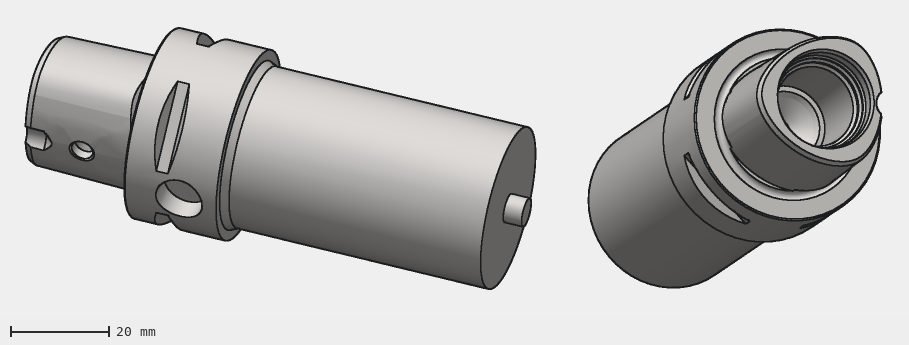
import cadquery as cq
import math

total_length = 104.0
taper_end_x = 22.3
flange_start_x = 24.0
flange_end_x = 44.0
collar_end_x = 45.8
body_end_x = 100.0

flange_diameter = 40.0
collar_diameter = 35.6
body_diameter = 34.0
pin_diameter = 6.0
flange_chamfer = 0.3

polygon_mean_diameter = 28.0
polygon_radius = polygon_mean_diameter / 2
polygon_eccentricity = 0.86
taper_per_length = 0.022
mouth_chamfer = 1.4
mouth_chamfer_depth = 0.6
lobe_count = 3
lobe_seam_angle = math.radians(26)
spans_per_curve = 8

neck_radius = 13.9
neck_setback = 0.4
neck_overlap = 1.7
groove_outer_radius = 15.8
groove_lead = 0.4

bore_mouth_radius = 10.4
bore_diameter = 20.0
bore_chamfer_length = 1.1
bore_length = 4.0
step_radius = 9.6
step_start = 4.5
step_end = 5.0
inner_bore_diameter = 18.0
inner_bore_start = 5.6
inner_bore_end = 6.5
chamber_radius = 8.3
chamber_start = 7.1
chamber_end = 25.0
seat_radius = 7.2
drill_diameter = 12.5
seat_end = 26.0
cone_end = 29.1
tip_diameter = 4.2
tip_end = 32.2

drive_hole_diameter = 4.6
drive_hole_chamfer = 0.4
drive_hole_x = 12.5
drive_hole_depth = 2.6
notch_diameter = 6.0
notch_axis_radius = 13.9
notch_point_half_angle = math.radians(45)
notch_length = 4.2
drill_point_half_angle = math.radians(59)
pocket_diameter = 10.0
pocket_x = 36.0
pocket_floor_radius = 14.8

gripper_x = 32.0
gripper_floor_width = 2.5
gripper_floor_radius = 17.7
gripper_wall_angle = math.radians(30)
gripper_overcut = 1.0
gripper_angles = (45, 135, 225, 315)


def polygon_wire(x, mean_radius):
    """Closed three-lobed curve in the plane X = x, with a flat toward -Y."""

    def point(angle):
        e = polygon_eccentricity
        support = mean_radius + e * math.cos(lobe_count * angle)
        slope = -lobe_count * e * math.sin(lobe_count * angle)
        y = support * math.cos(angle) - slope * math.sin(angle)
        z = support * math.sin(angle) + slope * math.cos(angle)
        return cq.Vector(x, y, z)

    lobe_pitch = 2 * math.pi / lobe_count
    edges = []
    for lobe in range(lobe_count):
        middle = lobe * lobe_pitch
        seams = [middle - lobe_seam_angle, middle + lobe_seam_angle]
        seams.append(middle + lobe_pitch - lobe_seam_angle)
        for start, end in zip(seams, seams[1:]):
            step = (end - start) / spans_per_curve
            points = [point(start + step * i) for i in range(spans_per_curve + 1)]
            edges.append(cq.Edge.makeSpline(points))
    return cq.Wire.assembleEdges(edges)


def polygon_frustum(x_start, radius_start, x_end, radius_end):
    """Ruled solid between two polygon outlines."""
    wires = [polygon_wire(x_start, radius_start), polygon_wire(x_end, radius_end)]
    return cq.Workplane(cq.Solid.makeLoft(wires, True))


def revolve_profile(profile):
    return profile.close().revolve(360, (0, 0, 0), (1, 0, 0))


def drill(diameter, depth, point_half_angle, origin, direction):
    """Cylinder of the given depth that ends in a conical drill point."""
    radius = diameter / 2
    point_length = radius / math.tan(point_half_angle)
    start = cq.Vector(*origin)
    heading = cq.Vector(*direction)
    shaft = cq.Solid.makeCylinder(radius, depth, start, heading)
    point = cq.Solid.makeCone(radius, 0, point_length, start + heading * depth, heading)
    return cq.Workplane(shaft).union(cq.Workplane(point))


def taper_shank():
    small_radius = polygon_radius - taper_per_length * taper_end_x
    chamfer_radius = small_radius + taper_per_length * mouth_chamfer
    shank = polygon_frustum(0, chamfer_radius - mouth_chamfer_depth, mouth_chamfer, chamfer_radius)
    shank = shank.union(polygon_frustum(mouth_chamfer, chamfer_radius, taper_end_x, polygon_radius))
    neck_end_x = flange_start_x + neck_overlap
    shank = shank.union(polygon_frustum(taper_end_x, polygon_radius, neck_end_x, polygon_radius))
    lobe_limit = polygon_radius + 2 * polygon_eccentricity
    neck_start_x = taper_end_x + neck_setback
    turning_start = neck_start_x - (lobe_limit - neck_radius)
    envelope = revolve_profile(
        cq.Workplane("XY")
        .moveTo(0, 0)
        .lineTo(0, lobe_limit)
        .lineTo(turning_start, lobe_limit)
        .lineTo(neck_start_x, neck_radius)
        .lineTo(neck_end_x, neck_radius)
        .lineTo(neck_end_x, 0)
    )
    return shank.intersect(envelope)


def turned_body():
    flange_radius = flange_diameter / 2
    groove_start_x = flange_start_x - groove_lead
    groove_width = groove_outer_radius - neck_radius
    groove_radius = (groove_lead**2 + groove_width**2) / (2 * groove_width)
    groove_deepest = (groove_start_x + groove_radius, neck_radius + groove_radius)
    return revolve_profile(
        cq.Workplane("XY")
        .moveTo(groove_start_x, 0)
        .lineTo(groove_start_x, neck_radius)
        .threePointArc(groove_deepest, (flange_start_x, groove_outer_radius))
        .lineTo(flange_start_x, flange_radius - flange_chamfer)
        .lineTo(flange_start_x + flange_chamfer, flange_radius)
        .lineTo(flange_end_x, flange_radius)
        .lineTo(flange_end_x, collar_diameter / 2)
        .lineTo(collar_end_x, body_diameter / 2)
        .lineTo(body_end_x, body_diameter / 2)
        .lineTo(body_end_x, pin_diameter / 2)
        .lineTo(total_length, pin_diameter / 2)
        .lineTo(total_length, 0)
    )


def stepped_bore():
    tip_radius = tip_diameter / 2
    return revolve_profile(
        cq.Workplane("XY")
        .moveTo(0, 0)
        .lineTo(0, bore_mouth_radius)
        .lineTo(bore_chamfer_length, bore_diameter / 2)
        .lineTo(bore_length, bore_diameter / 2)
        .lineTo(step_start, step_radius)
        .lineTo(step_end, step_radius)
        .lineTo(inner_bore_start, inner_bore_diameter / 2)
        .lineTo(inner_bore_end, inner_bore_diameter / 2)
        .lineTo(chamber_start, chamber_radius)
        .lineTo(chamber_end, chamber_radius)
        .lineTo(chamber_end, seat_radius)
        .lineTo(seat_end, drill_diameter / 2)
        .lineTo(cone_end, tip_radius)
        .lineTo(tip_end, tip_radius)
        .lineTo(tip_end + tip_radius / math.tan(drill_point_half_angle), 0)
    )


def gripper_groove(angle):
    """Straight groove with sloped walls, turned about X from the +Y side."""
    outer_radius = flange_diameter / 2 + gripper_overcut
    depth = outer_radius - gripper_floor_radius
    half_floor = gripper_floor_width / 2
    half_top = half_floor + depth * math.tan(gripper_wall_angle)
    return (
        cq.Workplane("XY")
        .moveTo(gripper_x - half_floor, gripper_floor_radius)
        .lineTo(gripper_x + half_floor, gripper_floor_radius)
        .lineTo(gripper_x + half_top, outer_radius)
        .lineTo(gripper_x - half_top, outer_radius)
        .close()
        .extrude(flange_diameter / 2, both=True)
        .rotate((0, 0, 0), (1, 0, 0), angle)
    )


def flange_pocket():
    pocket = cq.Solid.makeCylinder(
        pocket_diameter / 2,
        flange_diameter / 2,
        cq.Vector(pocket_x, -pocket_floor_radius, 0),
        cq.Vector(0, -1, 0),
    )
    return cq.Workplane(pocket)


def countersunk_drive_hole():
    mean_radius = polygon_radius - taper_per_length * (taper_end_x - drive_hole_x)
    flat_y = -(mean_radius - polygon_eccentricity)
    hole_radius = drive_hole_diameter / 2
    hole = drill(
        drive_hole_diameter,
        drive_hole_depth + drive_hole_chamfer,
        drill_point_half_angle,
        (drive_hole_x, flat_y - drive_hole_chamfer, 0),
        (0, 1, 0),
    )
    countersink = cq.Solid.makeCone(
        hole_radius,
        hole_radius + 2 * drive_hole_chamfer,
        2 * drive_hole_chamfer,
        cq.Vector(drive_hole_x, flat_y + drive_hole_chamfer, 0),
        cq.Vector(0, -1, 0),
    )
    return hole.union(cq.Workplane(countersink))


def end_notch():
    return drill(
        notch_diameter,
        notch_length,
        notch_point_half_angle,
        (0, -notch_axis_radius, 0),
        (1, 0, 0),
    )


result = turned_body().union(taper_shank())
result = result.cut(stepped_bore())
result = result.cut(countersunk_drive_hole())
result = result.cut(end_notch())
result = result.cut(flange_pocket())
for groove_angle in gripper_angles:
    result = result.cut(gripper_groove(groove_angle))